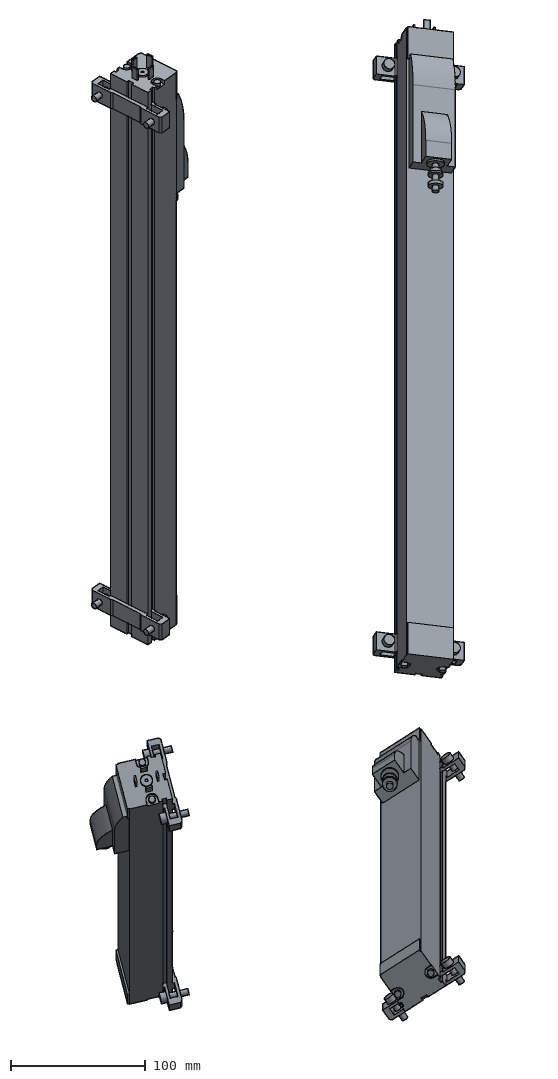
import cadquery as cq
import math


profile_width = 36.5
profile_depth = 32.5
profile_bottom = 1.5
profile_top = 514.5
slot_width = 5.0
slot_depth = 2.0
groove_front = 4.0
groove_back = 7.5
groove_depth = 1.5

cap_length = 26.0
cap_rise = 1.5
cap_inset = 0.5
screw_x = 15.0
screw_y = 15.0
screw_recess_width = 9.0
bottom_recess_depth = 1.5
top_recess_depth = 3.0
screw_diameter = 5.0

connector_y = 15.5
contact_x = 8.0
contact_spacing_y = 8.5
contact_width = 5.0
contact_thickness = 1.3
contact_height = 10.0
key_height = 12.0
boss_diameter = 9.0
boss_height = 1.5
boss_bore = 2.0
boss_bore_depth = 1.0

clamp_width = 68.0
clamp_height = 15.0
clamp_front = -3.95
clamp_back = 6.5
clamp_end_distance = 21.0
clamp_chamfer = 1.5
channel_front = -1.5
channel_half_width = 29.0
lip_width = 1.5
relief_half_width = 13.0
relief_depth = 0.8
relief_slope = 1.5
bolt_x = 25.5
bolt_diameter = 5.0
bolt_tip = -10.5
bolt_head_diameter = 8.5
bolt_head_height = 5.0

slider_bottom = 399.5
slider_width = 32.5
slider_top = 490.5
slider_shoulder_y = 37.5
slider_back = 43.5
slider_curve_start = 463.0
hump_width = 20.0
hump_top = 441.5
hump_back = 56.0
hump_curve_start = 413.0
joint_y = 47.5
socket_diameter = 13.0
socket_height = 1.5
joint_stem_diameter = 5.0
joint_disc_diameter = 11.0
joint_collar_diameter = 8.5
collar_top = 394.0
upper_disc_top = 390.5
upper_disc_bottom = 389.0
lower_disc_top = 383.0
lower_disc_bottom = 380.0
joint_end = 376.0


def box(x_min, x_max, y_min, y_max, z_min, z_max):
    """Box between the given coordinates."""
    size = (x_max - x_min, y_max - y_min, z_max - z_min)
    return cq.Workplane("XY").box(*size, centered=False).translate((x_min, y_min, z_min))


def upright_cylinder(x, y, z_min, z_max, diameter):
    """Cylinder along Z."""
    return cq.Workplane("XY", origin=(x, y, z_min)).circle(diameter / 2).extrude(z_max - z_min)


def make_profile():
    """Extruded bar with a slot in its front face and a clamping groove in each side."""
    half = profile_width / 2
    bar = box(-half, half, 0, profile_depth, profile_bottom, profile_top)
    bar = bar.cut(box(-slot_width / 2, slot_width / 2, 0, slot_depth, profile_bottom, profile_top))
    groove = box(-half, groove_depth - half, groove_front, groove_back, profile_bottom, profile_top)
    return bar.cut(groove).cut(groove.mirror("YZ"))


def make_cap_back(z_min):
    """Raised strip that an end cap forms on the back of the profile."""
    half = profile_width / 2 - cap_inset
    return box(-half, half, profile_depth, profile_depth + cap_rise, z_min, z_min + cap_length)


def make_screw_recess(side, z_min, z_max):
    """Recess for a cap screw, open at the side of the profile."""
    radius = screw_recess_width / 2
    recess = upright_cylinder(side * screw_x, screw_y, z_min, z_max, screw_recess_width)
    inner, outer = sorted([side * screw_x, side * profile_width / 2])
    return recess.union(box(inner, outer, screw_y - radius, screw_y + radius, z_min, z_max))


def make_connector():
    """Central boss with three contact blades and a taller key blade around it."""
    boss = upright_cylinder(0, connector_y, profile_top, profile_top + boss_height, boss_diameter)
    bore_bottom = profile_top + boss_height - boss_bore_depth
    connector = boss.cut(upright_cylinder(0, connector_y, bore_bottom, profile_top + boss_height, boss_bore))
    half_width = contact_width / 2
    half_thickness = contact_thickness / 2
    for x in (-contact_x, contact_x):
        connector = connector.union(box(
            x - half_thickness, x + half_thickness, connector_y - half_width, connector_y + half_width,
            profile_top, profile_top + contact_height,
        ))
    for side, height in ((-1, contact_height), (1, key_height)):
        y = connector_y + side * contact_spacing_y
        connector = connector.union(box(
            -half_width, half_width, y - half_thickness, y + half_thickness,
            profile_top, profile_top + height,
        ))
    return connector


def make_clamp(z_middle):
    """Clamp with two bolts, its claws reaching into the side grooves of the profile."""
    half = clamp_width / 2
    z_min = z_middle - clamp_height / 2
    z_max = z_middle + clamp_height / 2
    clamp = box(-half, half, clamp_front, clamp_back, z_min, z_max)
    clamp = clamp.edges("|Z and <Y").chamfer(clamp_chamfer)
    clamp = clamp.cut(
        box(-channel_half_width, channel_half_width, channel_front, groove_front, z_min, z_max)
    )
    rest = profile_width / 2
    clamp = clamp.cut(box(-rest, rest, 0, clamp_back, z_min, z_max))
    clamp = clamp.union(box(-rest, rest, channel_front, 0, z_min, z_max))
    claw = box(-rest - lip_width, groove_depth - rest, groove_front, groove_back, z_min, z_max)
    clamp = clamp.union(claw).union(claw.mirror("YZ"))
    relief = (
        cq.Workplane("XY", origin=(0, 0, z_min))
        .polyline([
            (-relief_half_width - relief_slope, clamp_front),
            (-relief_half_width, clamp_front + relief_depth),
            (relief_half_width, clamp_front + relief_depth),
            (relief_half_width + relief_slope, clamp_front),
        ])
        .close()
        .extrude(clamp_height)
    )
    clamp = clamp.cut(relief)
    for x in (-bolt_x, bolt_x):
        head_top = clamp_back + bolt_head_height
        plane = cq.Workplane("XZ", origin=(x, head_top, z_middle))
        clamp = clamp.union(plane.circle(bolt_diameter / 2).extrude(head_top - bolt_tip))
        clamp = clamp.union(plane.circle(bolt_head_diameter / 2).extrude(bolt_head_height))
    return clamp


def make_sensor():
    """Profile with its end caps, cap screws, connector and clamps."""
    sensor = make_profile()
    for z_min in (profile_bottom, profile_top - cap_length):
        sensor = sensor.union(make_cap_back(z_min))
    for side in (-1, 1):
        x = side * screw_x
        bottom_floor = profile_bottom + bottom_recess_depth
        top_floor = profile_top - top_recess_depth
        sensor = sensor.cut(make_screw_recess(side, profile_bottom, bottom_floor))
        sensor = sensor.cut(make_screw_recess(side, top_floor, profile_top))
        sensor = sensor.union(upright_cylinder(x, screw_y, 0, bottom_floor, screw_diameter))
        sensor = sensor.union(upright_cylinder(x, screw_y, top_floor, profile_top, screw_diameter))
    sensor = sensor.union(make_connector())
    for z_middle in (profile_bottom + clamp_end_distance, profile_top - clamp_end_distance):
        sensor = sensor.union(make_clamp(z_middle))
    return sensor


def arc_backed_block(width, y_front, y_back, y_shoulder, z_bottom, z_curve, z_top):
    """Block whose back face is flat up to z_curve and then bends forward in an arc to the shoulder."""
    drop = y_back - y_shoulder
    rise = z_top - z_curve
    radius = (drop**2 + rise**2) / (2 * drop)
    half_angle = math.atan2(drop, rise)
    arc_middle = (
        y_back - radius * (1 - math.cos(half_angle)),
        z_curve + radius * math.sin(half_angle),
    )
    return (
        cq.Workplane("YZ", origin=(-width / 2, 0, 0))
        .moveTo(y_front, z_bottom)
        .lineTo(y_back, z_bottom)
        .lineTo(y_back, z_curve)
        .threePointArc(arc_middle, (y_shoulder, z_top))
        .lineTo(y_front, z_top)
        .close()
        .extrude(width)
    )


def make_joint():
    """Turned joint hanging below the slider: socket, collar, stem and two discs."""
    joint = upright_cylinder(0, joint_y, slider_bottom - socket_height, slider_bottom, socket_diameter)
    joint = joint.union(upright_cylinder(0, joint_y, joint_end, slider_bottom, joint_stem_diameter))
    joint = joint.union(upright_cylinder(0, joint_y, upper_disc_top, collar_top, joint_collar_diameter))
    for z_min, z_max in ((upper_disc_bottom, upper_disc_top), (lower_disc_bottom, lower_disc_top)):
        joint = joint.union(upright_cylinder(0, joint_y, z_min, z_max, joint_disc_diameter))
    return joint


def make_slider():
    """Slider on the back of the profile, with a hump on its back and a joint below it."""
    base = arc_backed_block(
        slider_width, profile_depth, slider_back, slider_shoulder_y,
        slider_bottom, slider_curve_start, slider_top,
    )
    hump = arc_backed_block(
        hump_width, profile_depth, hump_back, slider_back,
        slider_bottom, hump_curve_start, hump_top,
    )
    return base.union(hump).union(make_joint())


sensor = make_sensor()
slider = make_slider()
result = cq.Compound.makeCompound([sensor.val(), slider.val()])